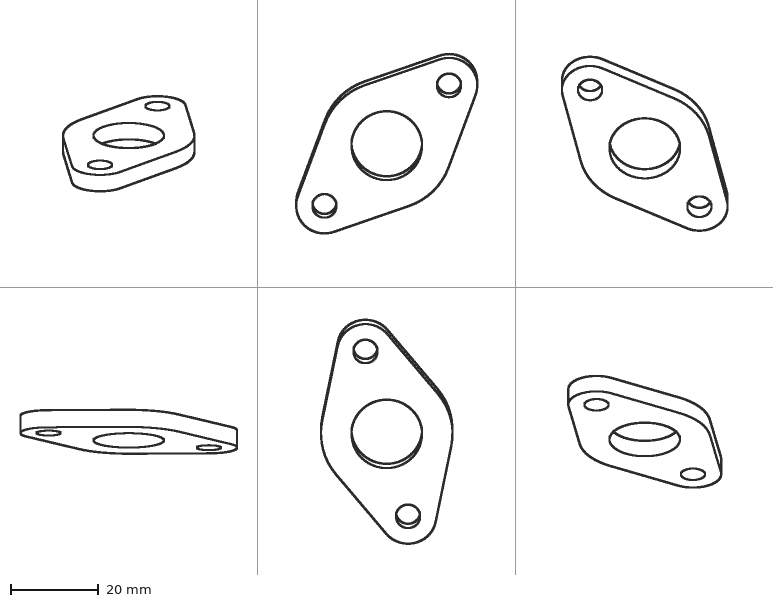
import cadquery as cq
import math

length = 52.95
waist_diameter = 30.0
thickness = 4.0
bolt_spacing = 40.05
bolt_hole_diameter = 5.5
bore_diameter = 16.1

waist_radius = waist_diameter / 2
bolt_offset = bolt_spacing / 2
end_radius = length / 2 - bolt_offset

normal_angle = math.asin((waist_radius - end_radius) / bolt_offset)
normal_x = math.cos(normal_angle)
normal_y = math.sin(normal_angle)
waist_x = waist_radius * normal_x
waist_y = waist_radius * normal_y
end_x = end_radius * normal_x
end_y = bolt_offset + end_radius * normal_y

plate = (
    cq.Workplane("XY")
    .moveTo(waist_x, -waist_y)
    .threePointArc((waist_radius, 0), (waist_x, waist_y))
    .lineTo(end_x, end_y)
    .threePointArc((0, length / 2), (-end_x, end_y))
    .lineTo(-waist_x, waist_y)
    .threePointArc((-waist_radius, 0), (-waist_x, -waist_y))
    .lineTo(-end_x, -end_y)
    .threePointArc((0, -length / 2), (end_x, -end_y))
    .close()
    .extrude(thickness)
)

bore = cq.Workplane("XY").circle(bore_diameter / 2).extrude(thickness)
bolt_holes = (
    cq.Workplane("XY")
    .pushPoints([(0, bolt_offset), (0, -bolt_offset)])
    .circle(bolt_hole_diameter / 2)
    .extrude(thickness)
)

result = plate.cut(bore).cut(bolt_holes)